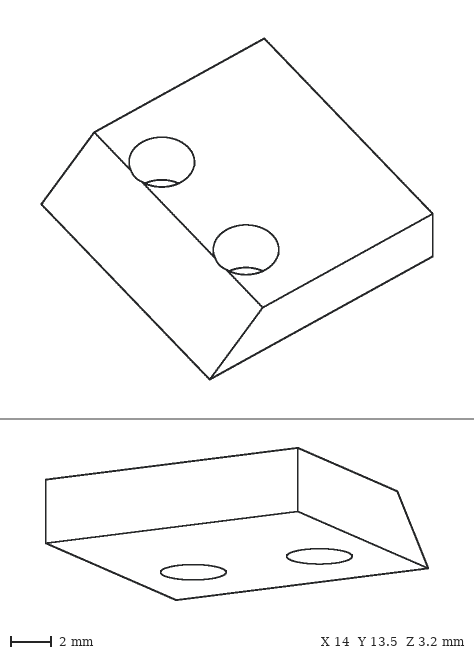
import cadquery as cq

width = 14.0
depth = 13.5
thickness = 3.2
bevel_run = thickness

hole_diameter = 3.2
hole_spacing = 7.0
hole_setback = 4.75


def beveled_plate():
    """Plate centred on X, with its sharp front edge at Y = 0 and its bottom at Z = 0."""
    profile = [
        (0, 0),
        (depth, 0),
        (depth, thickness),
        (bevel_run, thickness),
    ]
    return cq.Workplane("YZ").polyline(profile).close().extrude(width / 2, both=True)


def through_holes():
    """Pair of vertical cylinders that pass through the plate."""
    centers = [(side * hole_spacing / 2, hole_setback) for side in (-1, 1)]
    return cq.Workplane("XY").pushPoints(centers).circle(hole_diameter / 2).extrude(thickness)


result = beveled_plate().cut(through_holes())